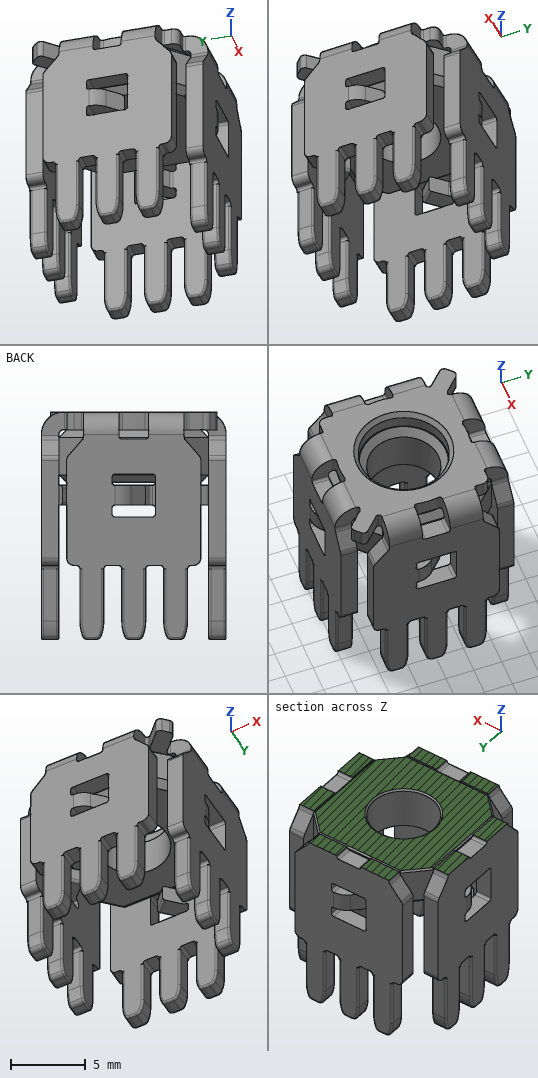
import cadquery as cq
import math

height = 15.25
outer_side = 12.4
half_side = outer_side / 2
sheet = 1.19
bend_outer = 1.5
bend_inner = bend_outer - sheet
wall_inner = half_side - sheet
plate_bottom = height - sheet
bend_start = half_side - bend_outer
small_radius = 0.2
large_radius = 0.5
countersink_angle = 90

plate_half = 4.48
plate_corner_radius = 0.49
relief_radius = 0.15
plate_hole_radius = 3.05
plate_hole_rim_radius = 3.35
ear_width = sheet
ear_angle = -45
ear_reach = 7.5
ear_tip_radius = 0.34

strip_half = 3.35
notch_half = 0.99
notch_arc_radius = 4.58
notch_bottom = height - 1.8

wall_half = 4.5
shoulder_top = height - 1.74
shoulder_bottom = height - 3.05
wall_bottom = 4.97

leg_half = 0.81
leg_pitch = 2.8
leg_tip_height = 1.25
leg_tip_arc = 2.75
leg_tip_radius = 0.4
leg_root_radius = 0.23
leg_edge_radius = 0.15
leg_top = wall_bottom - leg_root_radius

window_half = 1.45
window_top = 11.1
window_bottom = 8.24
tab_top = 10.35
tab_bottom = 9.01
tab_root = -window_half + small_radius
tab_angle = math.radians(45)
tab_length = 1.39

nut_half = wall_inner
nut_bottom = 10.55
nut_chamfer = 0.5
nut_corner_cut = 1.6
bore_radius = 2.49
countersink_radius = 2.99


def box(x_range, y_range, z_range):
    """Axis-aligned box spanning three (low, high) ranges."""
    spans = (x_range, y_range, z_range)
    size = [high - low for low, high in spans]
    centre = [(high + low) / 2 for low, high in spans]
    return cq.Workplane("XY").box(*size).translate(tuple(centre))


def front_sheet():
    """Workplane on the outer face of the -Y wall; a negative extrusion fills the wall thickness."""
    return cq.Workplane("XZ", origin=(0, -half_side, 0))


def turned(shape, quarter_turns):
    return shape.rotate((0, 0, 0), (0, 0, 1), 90 * quarter_turns)


def fillet_vertical_edges(shape, points, radius):
    """Round the plate edges standing at the given (x, y) points."""
    mid_height = height - sheet / 2
    for x, y in points:
        selector = cq.NearestToPointSelector((x, y, mid_height))
        shape = shape.edges("|Z").edges(selector).fillet(radius)
    return shape


def make_plate():
    plate_span = (-plate_half, plate_half)
    z_span = (plate_bottom, height)
    plate = box(plate_span, plate_span, z_span)
    strip_span = (-strip_half, strip_half)
    reach_span = (-bend_start, bend_start)
    plate = plate.union(box(strip_span, reach_span, z_span))
    plate = plate.union(box(reach_span, strip_span, z_span))

    ears = box((-ear_reach, ear_reach), (-ear_width / 2, ear_width / 2), z_span)
    ears = ears.edges("|Z").fillet(ear_tip_radius)
    plate = plate.union(ears.rotate((0, 0, 0), (0, 0, 1), ear_angle))

    corners = [(plate_half, plate_half), (-plate_half, -plate_half)]
    plate = fillet_vertical_edges(plate, corners, plate_corner_radius)
    ear_root = plate_half - ear_width / math.sqrt(2)
    reliefs = []
    for sx in (-1, 1):
        for sy in (-1, 1):
            reliefs.append((sx * strip_half, sy * plate_half))
            reliefs.append((sx * plate_half, sy * strip_half))
    for side in (-1, 1):
        reliefs.append((side * ear_root, -side * plate_half))
        reliefs.append((side * plate_half, -side * ear_root))
    plate = fillet_vertical_edges(plate, reliefs, relief_radius)

    return plate.faces(">Z").workplane(origin=(0, 0, 0)).cskHole(
        2 * plate_hole_radius, 2 * plate_hole_rim_radius, countersink_angle
    )


def make_bend():
    """Quarter-round bend joining the plate to the -Y wall."""
    bend_z = height - bend_outer
    ring = (
        cq.Workplane("YZ", origin=(-strip_half, -bend_start, bend_z))
        .circle(bend_outer)
        .circle(bend_inner)
        .extrude(2 * strip_half)
    )
    quarter = box((-strip_half, strip_half), (-half_side, -bend_start), (bend_z, height))
    return ring.intersect(quarter)


def make_wall_panel():
    right_side = [
        (strip_half, height - bend_outer),
        (strip_half, shoulder_top),
        (wall_half, shoulder_bottom),
        (wall_half, wall_bottom),
    ]
    left_side = [(-x, z) for x, z in reversed(right_side)]
    panel = front_sheet().polyline(right_side + left_side).close().extrude(-sheet)
    return panel.edges("|Y").edges("not >Z").fillet(large_radius)


def make_leg(centre_x):
    flare_half = leg_half + leg_root_radius
    arc_mid = leg_root_radius * (1 - math.sqrt(0.5))
    root = (
        front_sheet()
        .moveTo(-flare_half, wall_bottom)
        .threePointArc((-leg_half - arc_mid, wall_bottom - arc_mid), (-leg_half, leg_top))
        .lineTo(leg_half, leg_top)
        .threePointArc((leg_half + arc_mid, wall_bottom - arc_mid), (flare_half, wall_bottom))
        .close()
        .extrude(-sheet)
    )

    def tip_half(z):
        rise = leg_tip_height - z
        return leg_half - leg_tip_arc + math.sqrt(leg_tip_arc**2 - rise**2)

    mid_z = leg_tip_height / 2
    prong = (
        front_sheet()
        .moveTo(-leg_half, leg_top)
        .lineTo(-leg_half, leg_tip_height)
        .threePointArc((-tip_half(mid_z), mid_z), (-tip_half(0), 0))
        .lineTo(tip_half(0), 0)
        .threePointArc((tip_half(mid_z), mid_z), (leg_half, leg_tip_height))
        .lineTo(leg_half, leg_top)
        .close()
        .extrude(-sheet)
    )
    prong = prong.faces("<Z").edges("|Y").fillet(leg_tip_radius)
    prong = prong.faces("<Y or >Y").edges("not >Z").fillet(leg_edge_radius)
    return root.union(prong).translate((centre_x, 0, 0))


def make_notch_cutter():
    """Opening through the middle of the bend, with its inner end concentric with the bore."""
    end_y = math.sqrt(notch_arc_radius**2 - notch_half**2)
    cutter = (
        cq.Workplane("XY", origin=(0, 0, notch_bottom))
        .moveTo(-notch_half, -half_side)
        .lineTo(-notch_half, -end_y)
        .threePointArc((0, -notch_arc_radius), (notch_half, -end_y))
        .lineTo(notch_half, -half_side)
        .close()
        .extrude(height - notch_bottom)
    )
    cutter = cutter.edges("|Z").edges(">Y").fillet(small_radius)
    return cutter.faces("<Z").edges("|Y").fillet(small_radius)


def make_window_cutter():
    """C-shaped opening around the tab: a slot above it, a slot below it and the free side."""
    y_span = (-half_side, -wall_inner)
    x_span = (-window_half, window_half)
    upper = box(x_span, y_span, (tab_top, window_top)).edges("|Y").fillet(small_radius)
    lower = box(x_span, y_span, (window_bottom, tab_bottom)).edges("|Y").fillet(small_radius)
    upper_mid = (tab_top + window_top) / 2
    lower_mid = (window_bottom + tab_bottom) / 2
    free_side = box((tab_root, window_half), y_span, (lower_mid, upper_mid))
    return upper.union(lower).union(free_side)


def make_tab():
    """Tab that bends away from the window edge and runs straight under the nut."""
    centre_y = -half_side + bend_outer

    def on_bend(radius, angle, run=0.0):
        x = tab_root + radius * math.sin(angle) + run * math.cos(tab_angle)
        y = centre_y - radius * math.cos(angle) + run * math.sin(tab_angle)
        return (x, y)

    tab = (
        cq.Workplane("XY", origin=(0, 0, tab_bottom))
        .moveTo(*on_bend(bend_outer, 0))
        .threePointArc(on_bend(bend_outer, tab_angle / 2), on_bend(bend_outer, tab_angle))
        .lineTo(*on_bend(bend_outer, tab_angle, tab_length))
        .lineTo(*on_bend(bend_inner, tab_angle, tab_length))
        .lineTo(*on_bend(bend_inner, tab_angle))
        .threePointArc(on_bend(bend_inner, tab_angle / 2), on_bend(bend_inner, 0))
        .close()
        .extrude(tab_top - tab_bottom)
    )
    tip_direction = cq.Vector(math.cos(tab_angle), math.sin(tab_angle), 0)
    tip = tab.faces(cq.DirectionMinMaxSelector(tip_direction))
    return tip.edges("#Z").fillet(small_radius)


def make_wall():
    wall = make_bend().union(make_wall_panel())
    for index in (-1, 0, 1):
        wall = wall.union(make_leg(index * leg_pitch))
    return wall.cut(make_window_cutter()).union(make_tab())


def make_nut():
    nut_height = plate_bottom - nut_bottom
    nut = (
        cq.Workplane("XY", origin=(0, 0, nut_bottom))
        .rect(2 * nut_half, 2 * nut_half)
        .extrude(nut_height)
        .edges("|Z")
        .chamfer(nut_corner_cut)
        .faces("<Z or >Z")
        .edges()
        .chamfer(nut_chamfer)
    )
    return nut.faces(">Z").workplane(origin=(0, 0, 0)).cskHole(
        2 * bore_radius, 2 * countersink_radius, countersink_angle
    )


cage = make_plate()
wall = make_wall()
notch = make_notch_cutter()
for quarter in range(4):
    cage = cage.union(turned(wall, quarter))
for quarter in range(4):
    cage = cage.cut(turned(notch, quarter))
result = cage.union(make_nut())